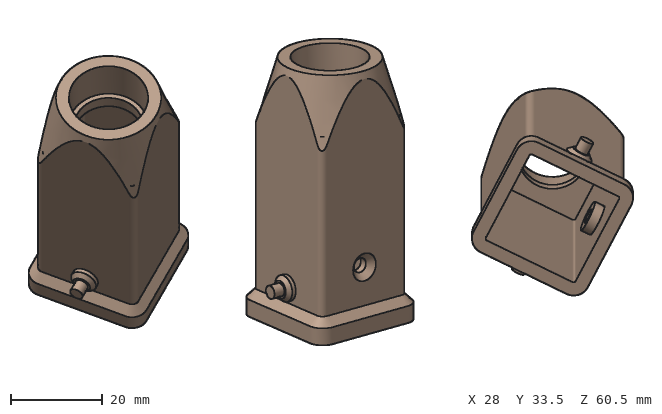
import cadquery as cq
import math

height = 60.5
foot_width = 28.0
foot_chamfer = 2.0
foot_height = 6.0
foot_corner_radius = 3.5
body_width = foot_width - 2 * foot_chamfer
body_corner_radius = foot_corner_radius - foot_chamfer

top_radius = 11.5
cone_angle = 17.0
cone_depth = 21.2

wall = 1.0
entry_diameter = 17.3
entry_depth = 10.0
bore_diameter = 15.0
cavity_height = 47.5
cavity_width = body_width - 2 * wall
cavity_corner_radius = body_corner_radius - wall

pin_z = 9.5
pin_tip_y = 16.75
pin_radius = 1.5
collar_radius = 3.0
collar_length = foot_chamfer
collar_chamfer = collar_length / 2

screw_z = 14.95
screw_hole_diameter = 3.3
countersink_diameter = 6.4
countersink_angle = 90.0
boss_radius = 3.5
boss_reach = 3.3


def rounded_block(width, block_height, corner_radius):
    return (
        cq.Workplane("XY")
        .rect(width, width)
        .extrude(block_height)
        .edges("|Z")
        .fillet(corner_radius)
    )


def tapered_body():
    body = rounded_block(body_width, height, body_corner_radius)
    base_z = height - cone_depth
    base_radius = top_radius + cone_depth * math.tan(math.radians(cone_angle))
    envelope = (
        cq.Workplane("XZ")
        .moveTo(0, 0)
        .lineTo(base_radius, 0)
        .lineTo(base_radius, base_z)
        .lineTo(top_radius, height)
        .lineTo(0, height)
        .close()
        .revolve(360, (0, 0, 0), (0, 1, 0))
    )
    return body.intersect(envelope)


def foot():
    block = rounded_block(foot_width, foot_height, foot_corner_radius)
    return block.faces(">Z").edges().chamfer(foot_chamfer)


def locking_pin(side):
    """Collar and pin standing on the body face at Y = side * body_width / 2."""
    face_y = body_width / 2
    root_y = face_y - wall / 2
    collar_end_y = face_y + collar_length
    pin = (
        cq.Workplane("XY")
        .moveTo(0, root_y)
        .lineTo(collar_radius, root_y)
        .lineTo(collar_radius, collar_end_y - collar_chamfer)
        .lineTo(collar_radius - collar_chamfer, collar_end_y)
        .lineTo(pin_radius, collar_end_y)
        .lineTo(pin_radius, pin_tip_y)
        .lineTo(0, pin_tip_y)
        .close()
        .revolve(360, (0, 0, 0), (0, 1, 0))
    )
    if side < 0:
        pin = pin.mirror("XZ")
    return pin.translate((0, 0, pin_z))


def interior():
    cavity = rounded_block(cavity_width, cavity_height, cavity_corner_radius)
    bore = cq.Workplane("XY").circle(bore_diameter / 2).extrude(height)
    entry = (
        cq.Workplane("XY", origin=(0, 0, height - entry_depth))
        .circle(entry_diameter / 2)
        .extrude(entry_depth)
    )
    return cavity.union(bore).union(entry)


def screw_boss():
    start = (-body_width / 2 + wall / 2, 0, screw_z)
    return (
        cq.Workplane("YZ", origin=start)
        .circle(boss_radius)
        .extrude(boss_reach - wall / 2)
    )


def screw_hole():
    hole_radius = screw_hole_diameter / 2
    rim_radius = countersink_diameter / 2
    sink_depth = (rim_radius - hole_radius) / math.tan(math.radians(countersink_angle / 2))
    return (
        cq.Workplane("XY")
        .moveTo(0, 0)
        .lineTo(0, rim_radius)
        .lineTo(sink_depth, hole_radius)
        .lineTo(boss_reach, hole_radius)
        .lineTo(boss_reach, 0)
        .close()
        .revolve(360, (0, 0, 0), (1, 0, 0))
        .translate((-body_width / 2, 0, screw_z))
    )


result = tapered_body().union(foot()).cut(interior())
for side in (-1, 1):
    result = result.union(locking_pin(side))
result = result.union(screw_boss()).cut(screw_hole())